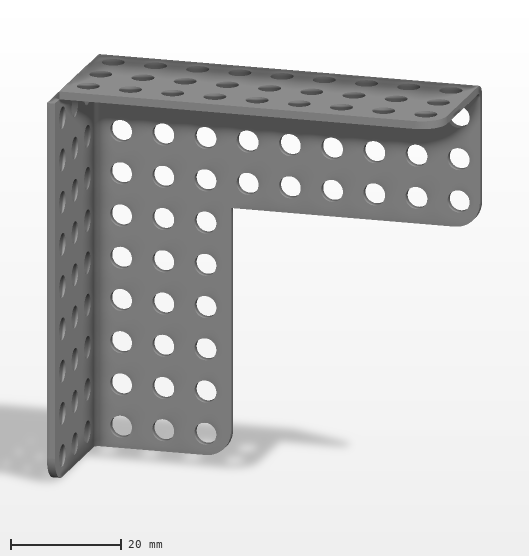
import cadquery as cq
import math

length = 74.4
width = 27.2
thickness = 1.5
bend_radius = 2.4
hole_diameter = 4.2
hole_margin = 4.0
corner_radius = 4.75
rows = 9
columns = 3

flat_length = length - bend_radius
pitch = (flat_length - 2 * hole_margin) / (rows - 1)
inner_radius = bend_radius - thickness
bend_y = width - bend_radius

row_heights = [hole_margin + row * pitch for row in range(rows)]
column_offsets = [bend_radius + hole_margin + column * pitch for column in range(columns)]


def bent_sheet():
    """Upright back plate and side flange joined by a quarter-round bend."""
    diagonal = math.sqrt(0.5)
    outer_mid = (bend_radius - bend_radius * diagonal, bend_y + bend_radius * diagonal)
    inner_mid = (bend_radius - inner_radius * diagonal, bend_y + inner_radius * diagonal)
    return (
        cq.Workplane("XY")
        .moveTo(0, 0)
        .lineTo(0, bend_y)
        .threePointArc(outer_mid, (bend_radius, width))
        .lineTo(width, width)
        .lineTo(width, width - thickness)
        .lineTo(bend_radius, width - thickness)
        .threePointArc(inner_mid, (thickness, bend_y))
        .lineTo(thickness, 0)
        .close()
        .extrude(flat_length)
    )


def round_lower_corners(arm):
    """Round the free lower corners of the back plate and of the flange."""
    plate_corner = cq.selectors.NearestToPointSelector((width, width - thickness / 2, 0))
    flange_corner = cq.selectors.NearestToPointSelector((thickness / 2, 0, 0))
    return arm.edges(plate_corner).fillet(corner_radius).edges(flange_corner).fillet(corner_radius)


def plate_holes():
    """Hole cutters through the back plate, along Y."""
    points = [(x, z) for x in column_offsets for z in row_heights]
    return (
        cq.Workplane("XZ", origin=(0, width, 0))
        .pushPoints(points)
        .circle(hole_diameter / 2)
        .extrude(thickness)
    )


def flange_holes():
    """Hole cutters through the side flange, along X."""
    points = [(width - offset, z) for offset in column_offsets for z in row_heights]
    return cq.Workplane("YZ").pushPoints(points).circle(hole_diameter / 2).extrude(thickness)


upright_arm = round_lower_corners(bent_sheet()).cut(plate_holes()).cut(flange_holes())

horizontal_arm = upright_arm.mirror((1, 0, 1), (length, 0, 0))

result = upright_arm.union(horizontal_arm).clean()